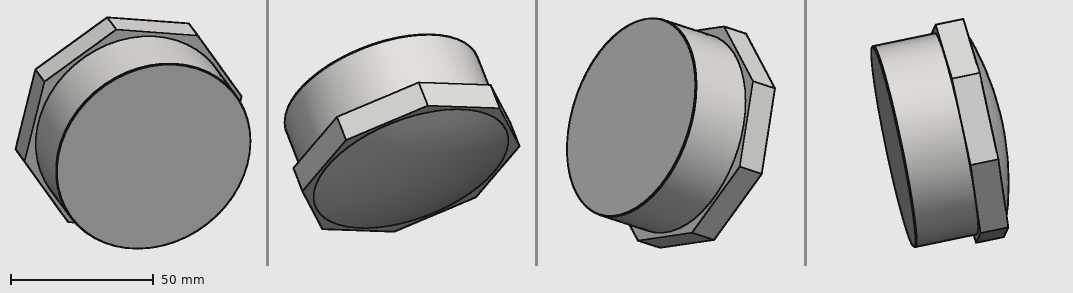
import cadquery as cq
import math

TOTAL_LENGTH = 39.0
FLANGE_SPAN = 80.3
FLANGE_THICKNESS = 9.95
FLANGE_SIDES = 8
FLANGE_TURN = 8.8
BODY_DIAMETER = 72.0
DOME_HEIGHT = 6.6
END_CHAMFER_LENGTH = 0.5
END_CHAMFER_DEPTH = 0.25

body_radius = BODY_DIAMETER / 2
flange_end = DOME_HEIGHT + FLANGE_THICKNESS
corner_angles = [math.radians(FLANGE_TURN + i * 360 / FLANGE_SIDES) for i in range(FLANGE_SIDES)]
flange_radius = FLANGE_SPAN / 2 / max(math.cos(a) for a in corner_angles)


def make_flange():
    """Octagonal flange behind the dome."""
    corners = [(flange_radius * math.cos(a), flange_radius * math.sin(a)) for a in corner_angles]
    return cq.Workplane("YZ", origin=(DOME_HEIGHT, 0, 0)).polyline(corners).close().extrude(FLANGE_THICKNESS)


def make_spigot():
    """Round spigot with a small chamfer around its free end."""
    chamfer_start = TOTAL_LENGTH - END_CHAMFER_LENGTH
    return (
        cq.Workplane("XY")
        .moveTo(flange_end, 0)
        .lineTo(flange_end, body_radius)
        .lineTo(chamfer_start, body_radius)
        .lineTo(TOTAL_LENGTH, body_radius - END_CHAMFER_DEPTH)
        .lineTo(TOTAL_LENGTH, 0)
        .close()
        .revolve(360, (0, 0, 0), (1, 0, 0))
    )


def make_dome():
    """Shallow spherical cap on the front face of the flange."""
    sphere_radius = (body_radius**2 + DOME_HEIGHT**2) / (2 * DOME_HEIGHT)
    half_angle = math.asin(body_radius / sphere_radius) / 2
    arc_middle = (sphere_radius * (1 - math.cos(half_angle)), sphere_radius * math.sin(half_angle))
    return (
        cq.Workplane("XY")
        .moveTo(0, 0)
        .threePointArc(arc_middle, (DOME_HEIGHT, body_radius))
        .lineTo(DOME_HEIGHT, 0)
        .close()
        .revolve(360, (0, 0, 0), (1, 0, 0))
    )


def make_plug():
    """Blanking plug: dome, flange and spigot as one solid."""
    return make_flange().union(make_spigot()).union(make_dome())


plug = make_plug()
result = cq.Compound.makeCompound([plug.val()])